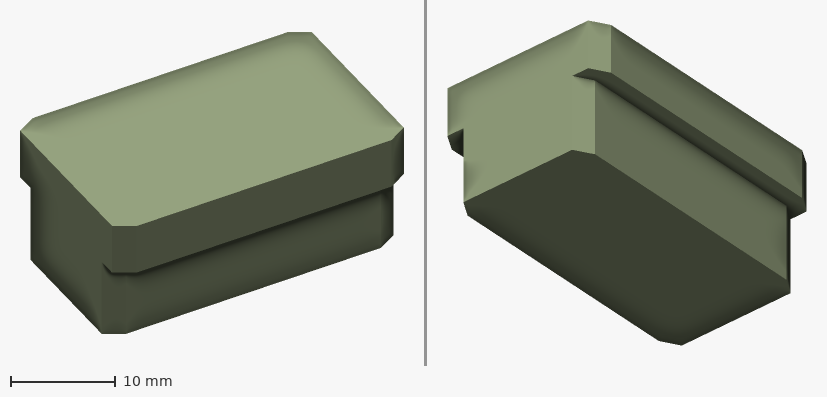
import cadquery as cq
import math

length = 32.0
head_width = 20.0
stem_width = 16.0
total_height = 14.0
head_height = 5.5
stem_height = total_height - head_height

corner_length = 2.0
corner_angle = 30.0
corner_width = corner_length * math.tan(math.radians(corner_angle))


def cut_corner_block(width, height, base_z):
    """Upright block of full length with its four vertical corners cut."""
    half_width = width / 2
    half_length = length / 2
    inner_x = half_width - corner_width
    inner_y = half_length - corner_length
    outline = [
        (half_width, -inner_y),
        (half_width, inner_y),
        (inner_x, half_length),
        (-inner_x, half_length),
        (-half_width, inner_y),
        (-half_width, -inner_y),
        (-inner_x, -half_length),
        (inner_x, -half_length),
    ]
    return cq.Workplane("XY").workplane(offset=base_z).polyline(outline).close().extrude(height)


stem = cut_corner_block(stem_width, stem_height, 0)
head = cut_corner_block(head_width, head_height, stem_height)
result = stem.union(head)